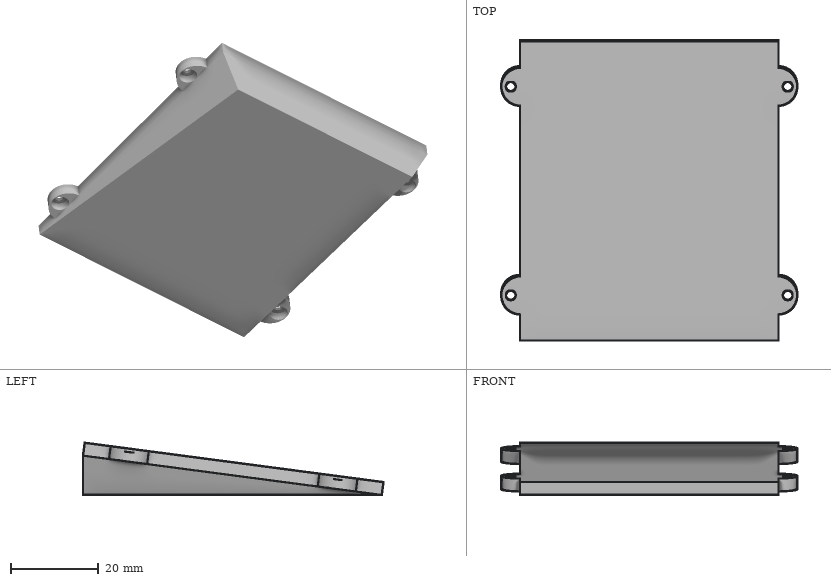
import cadquery as cq
import math

overall_width = 67.8
overall_depth = 68.85
overall_height = 12.0

tilt_deg = 7.5
plate_width = 59.3

lug_radius = 4.4
lug_spacing = 48.2
hole_spacing = 63.4
hole_diameter = 2.2
counterbore_diameter = 4.1
counterbore_floor = 0.8

base_inset = 4.4

tilt = math.radians(tilt_deg)
plate_length = (overall_depth * math.cos(tilt) - overall_height * math.sin(tilt)) / math.cos(2 * tilt)
plate_thickness = (overall_height * math.cos(tilt) - overall_depth * math.sin(tilt)) / math.cos(2 * tilt)

lug_offset = overall_width / 2 - lug_radius
lug_rows = [(plate_length - lug_spacing) / 2, (plate_length + lug_spacing) / 2]
hole_points = [(side * hole_spacing / 2, row) for side in (-1, 1) for row in lug_rows]


def make_plate():
    """Flat plate with four round lugs, each with a hole counterbored from below."""
    plate = cq.Workplane("XY").box(plate_width, plate_length, plate_thickness, centered=(True, False, False))
    lug_points = [(side * lug_offset, row) for side in (-1, 1) for row in lug_rows]
    lugs = cq.Workplane("XY").pushPoints(lug_points).circle(lug_radius).extrude(plate_thickness)
    holes = cq.Workplane("XY").pushPoints(hole_points).circle(hole_diameter / 2).extrude(plate_thickness)
    counterbores = (
        cq.Workplane("XY")
        .pushPoints(hole_points)
        .circle(counterbore_diameter / 2)
        .extrude(plate_thickness - counterbore_floor)
    )
    return plate.union(lugs).cut(holes).cut(counterbores)


def make_wedge():
    """Wedge from the base to the plate underside, with both sides sloping inwards."""
    depth = plate_length * math.cos(tilt)
    height = plate_length * math.sin(tilt)
    block = (
        cq.Workplane("YZ")
        .polyline([(0, 0), (depth, 0), (depth, height)])
        .close()
        .extrude(plate_width / 2, both=True)
    )
    half_width = plate_width / 2
    cutter_size = 4 * depth
    for side in (-1, 1):
        front_corner = cq.Vector(side * half_width, 0, 0)
        back_top = cq.Vector(side * half_width, depth, height)
        back_base = cq.Vector(side * (half_width - base_inset), depth, 0)
        normal = (back_base - front_corner).cross(back_top - front_corner) * side
        plane = cq.Plane(origin=front_corner, xDir=back_top - front_corner, normal=normal)
        cutter = cq.Workplane(plane).rect(cutter_size, cutter_size).extrude(depth)
        block = block.cut(cutter)
    return block


plate = make_plate().rotate((0, 0, 0), (1, 0, 0), tilt_deg)
result = plate.union(make_wedge())